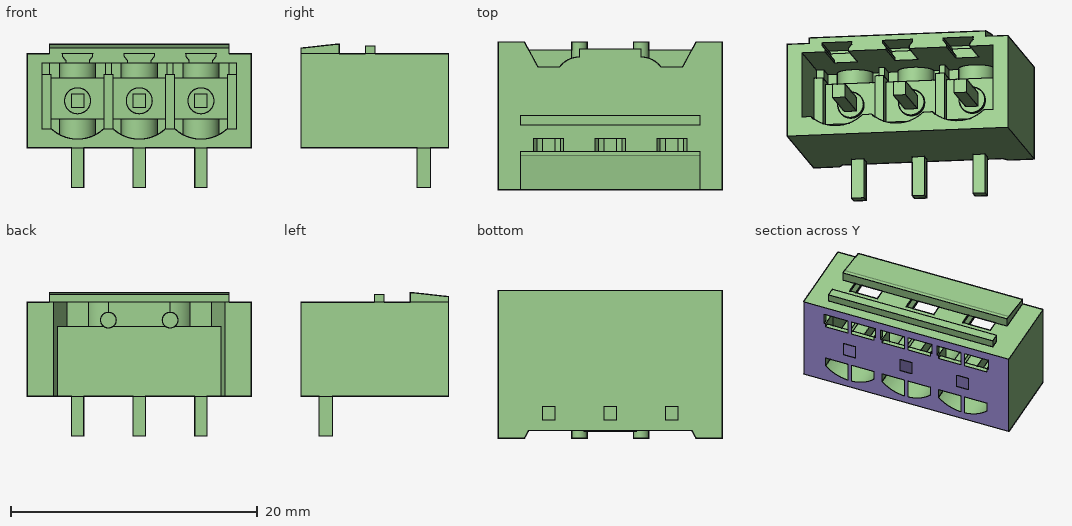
import cadquery as cq


pin_count = 3
pitch = 5.0
pin_places = [(i - (pin_count - 1) / 2) * pitch for i in range(pin_count)]

width = 18.2
depth = 12.0
height = 7.65
mid_height = height / 2

divider_width = 0.73
cavity_width = pin_count * pitch + divider_width
cavity_floor = 1.55
cavity_roof = 6.88
rear_wall_front = 8.37
scoop_radius = 3.11

divider_front = 5.46
divider_shoulder = 5.97
upper_rib_width = 0.47
upper_rib_front = 6.55

column_radius = 1.47
block_front = 6.55
block_bottom = 2.33
block_top = 5.66
collar_radius = 1.05
collar_length = 0.36

rib_length = 14.56
ridge_back = 3.13
ridge_flat = 0.33
ridge_height = 0.76
ridge_front_height = 0.45
bar_front = 5.25
bar_width = 0.78
bar_height = 0.64
slot_depth = 4.15
slot_top_width = 2.45
slot_neck_width = 1.91
slot_lip_z = 7.45
slot_neck_z = 7.08

notch_open_width = 13.9
notch_floor_width = 11.72
notch_floor_y = 9.95
ledge_back = 11.35
ledge_top = block_top
tongue_width = pitch
tongue_back = 11.43
bump_radius = 2.0
bump_back = 10.77
peg_places = [-pitch / 2, pitch / 2]
peg_radius = 0.64
peg_z = 6.19

pin_width = 1.02
pin_thickness = 1.11
pin_tip_y = 0.93
leg_front_y = 9.41
leg_length = 3.22


def box(x_center, x_size, y_start, y_end, z_start, z_end):
    """Upright block centred on x_center and reaching between the given Y and Z limits."""
    block = cq.Workplane("XY").box(x_size, y_end - y_start, z_end - z_start, centered=(True, False, False))
    return block.translate((x_center, y_start, z_start))


def rod_along_y(x, z, radius, y_start, y_end):
    """Round bar lying along Y."""
    return cq.Workplane("XZ", origin=(x, y_start, z)).circle(radius).extrude(y_start - y_end)


def rod_along_z(x, y, radius, z_start, z_end):
    """Round upright bar."""
    return cq.Workplane("XY", origin=(x, y, z_start)).circle(radius).extrude(z_end - z_start)


def make_cavity():
    """Open front space with a round scoop in the floor under each pin."""
    cavity = box(0, cavity_width, 0, rear_wall_front, cavity_floor, cavity_roof)
    below_floor = box(0, cavity_width, 0, rear_wall_front, 0, cavity_floor)
    for x in pin_places:
        scoop = rod_along_y(x, mid_height, scoop_radius, 0, rear_wall_front)
        cavity = cavity.union(scoop.intersect(below_floor))
    return cavity


def make_dividers():
    """Walls between and beside the chambers, narrower and set back above the shoulder."""
    lower = box(0, cavity_width, divider_front, rear_wall_front, cavity_floor, divider_shoulder)
    upper = box(0, cavity_width, upper_rib_front, rear_wall_front, divider_shoulder, cavity_roof)
    lower_gap = pitch - divider_width
    upper_gap = pitch - upper_rib_width
    for x in pin_places:
        lower = lower.cut(box(x, lower_gap, divider_front, rear_wall_front, cavity_floor, divider_shoulder))
        upper = upper.cut(box(x, upper_gap, upper_rib_front, rear_wall_front, divider_shoulder, cavity_roof))
    return lower.union(upper)


def make_pin_support(x):
    """Upright column crossed by a block that carries the round collar of the pin."""
    column = rod_along_z(x, rear_wall_front, column_radius, 0, cavity_roof)
    block = box(x, pitch, block_front, rear_wall_front, block_bottom, block_top)
    collar = rod_along_y(x, mid_height, collar_radius, block_front - collar_length, block_front)
    return column.union(block).union(collar)


def make_ridge():
    """Ridge along the front top edge, sloping down toward the front."""
    profile = [
        (0, height),
        (0, height + ridge_front_height),
        (ridge_back - ridge_flat, height + ridge_height),
        (ridge_back, height + ridge_height),
        (ridge_back, height),
    ]
    return cq.Workplane("YZ").polyline(profile).close().extrude(rib_length / 2, both=True)


def make_key_slot(x):
    """Slot through the roof above a pin: wide at the top, tapering to a straight neck."""
    half_top = slot_top_width / 2
    half_neck = slot_neck_width / 2
    profile = [
        (-half_top, height),
        (-half_top, slot_lip_z),
        (-half_neck, slot_neck_z),
        (-half_neck, cavity_roof),
        (half_neck, cavity_roof),
        (half_neck, slot_neck_z),
        (half_top, slot_lip_z),
        (half_top, height),
    ]
    return cq.Workplane("XZ", origin=(x, 0, 0)).polyline(profile).close().extrude(-slot_depth)


def make_back_notch():
    """Slant-sided notch in the back, leaving a ledge below and a bumped edge with a tongue above."""
    half_open = notch_open_width / 2
    half_floor = notch_floor_width / 2
    outline = [
        (-half_open, depth),
        (-half_floor, notch_floor_y),
        (half_floor, notch_floor_y),
        (half_open, depth),
    ]
    notch = cq.Workplane("XY").polyline(outline).close().extrude(height)
    notch = notch.cut(box(0, width, 0, ledge_back, 0, ledge_top))
    notch = notch.cut(box(0, tongue_width, 0, tongue_back, ledge_top, height))
    for x in peg_places:
        notch = notch.cut(rod_along_z(x, bump_back - bump_radius, bump_radius, ledge_top, height))
    return notch


def make_pin(x):
    """Straight contact running back from its tip, then bent down into a solder leg."""
    leg_back_y = leg_front_y + pin_thickness
    pin_bottom = mid_height - pin_thickness / 2
    pin_top = mid_height + pin_thickness / 2
    contact = box(x, pin_width, pin_tip_y, leg_back_y, pin_bottom, pin_top)
    leg = box(x, pin_width, leg_front_y, leg_back_y, -leg_length, pin_top)
    return contact.union(leg)


def make_housing(pins):
    """Complete housing with a close-fitting passage for every pin."""
    housing = box(0, width, 0, depth, 0, height).cut(make_cavity()).union(make_dividers())
    housing = housing.union(make_ridge())
    housing = housing.union(box(0, rib_length, bar_front, bar_front + bar_width, height, height + bar_height))
    housing = housing.cut(make_back_notch())
    for x in pin_places:
        housing = housing.union(make_pin_support(x)).cut(make_key_slot(x))
    for x in peg_places:
        housing = housing.union(rod_along_y(x, peg_z, peg_radius, notch_floor_y, depth))
    for pin in pins:
        housing = housing.cut(pin)
    return housing


pins = [make_pin(x) for x in pin_places]
housing = make_housing(pins)

result = cq.Compound.makeCompound([housing.solids().val(), *[pin.solids().val() for pin in pins]])